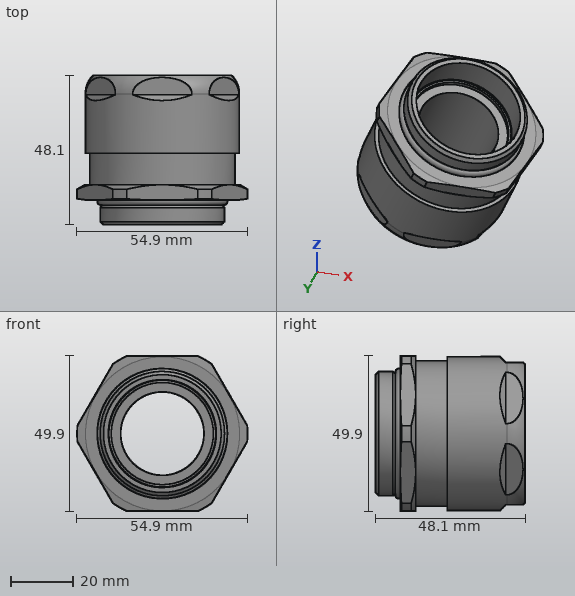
import cadquery as cq
import math

LENGTH = 48.1

THREAD_RADIUS = 40.0 / 2
THREAD_TIP_RADIUS = 37.85 / 2
TIP_CHAMFER_LENGTH = 1.1
THREAD_END_Y = 5.55
UNDERCUT_Y = 6.35
UNDERCUT_RADIUS = 19.4
RING_OUTER_RADIUS = 20.95
RING_TUBE_RADIUS = 1.2

HEX_SIDES = 6
HEX_ACROSS_FLATS = 49.9
HEX_CORNER_DIAMETER = 54.85
HEX_FACE_DIAMETER = 49.55
HEX_START_Y = 8.0
HEX_END_Y = 13.0
HEX_FRONT_BEVEL = 0.4
HEX_REAR_BEVEL = 1.55

NECK_RADIUS = 46.85 / 2
CAP_RADIUS = 49.55 / 2
CAP_START_Y = 23.05
DOME_START_Y = 42.2
DOME_END_RADIUS = 22.2

FLAT_COUNT = 6
FLAT_DISTANCE = 22.9
FLAT_START_Y = 41.85
CUT_MARGIN = 2.75

BORE_RADIUS = 34.75 / 2
BORE_DEPTH = 9.95
STEP_RADIUS = 34.35 / 2
STEP_DEPTH = 10.2
SEAT_RADIUS = 32.8 / 2
SEAT_DEPTH = 11.5
THROUGH_RADIUS = 26.7 / 2


def cylinder(radius, start_y, end_y):
    """Solid cylinder on the Y axis."""
    return cq.Workplane("XZ", origin=(0, start_y, 0)).circle(radius).extrude(start_y - end_y)


def revolve_about_y(profile):
    """Turn a closed radius / Y profile about the Y axis."""
    return profile.close().revolve(360, (0, 0, 0), (0, 1, 0))


def threaded_end():
    """Plain thread envelope with a chamfered tip and a conical undercut."""
    return revolve_about_y(
        cq.Workplane("XY")
        .lineTo(THREAD_TIP_RADIUS, 0)
        .lineTo(THREAD_RADIUS, TIP_CHAMFER_LENGTH)
        .lineTo(THREAD_RADIUS, THREAD_END_Y)
        .lineTo(UNDERCUT_RADIUS, UNDERCUT_Y)
        .lineTo(UNDERCUT_RADIUS, HEX_END_Y)
        .lineTo(0, HEX_END_Y)
    )


def sealing_ring():
    """Half-round ring between the undercut and the hexagonal collar."""
    tube_center_radius = RING_OUTER_RADIUS - RING_TUBE_RADIUS
    tube_center_y = UNDERCUT_Y + RING_TUBE_RADIUS
    ring_end_y = tube_center_y + RING_TUBE_RADIUS
    return revolve_about_y(
        cq.Workplane("XY")
        .moveTo(THROUGH_RADIUS, UNDERCUT_Y)
        .lineTo(tube_center_radius, UNDERCUT_Y)
        .threePointArc((RING_OUTER_RADIUS, tube_center_y), (tube_center_radius, ring_end_y))
        .lineTo(THROUGH_RADIUS, ring_end_y)
    )


def hex_collar():
    """Hexagon with its corners turned round, bevelled on both faces."""
    hexagon = (
        cq.Workplane("XZ", origin=(0, HEX_START_Y, 0))
        .polygon(HEX_SIDES, HEX_ACROSS_FLATS / math.cos(math.pi / HEX_SIDES))
        .extrude(HEX_START_Y - HEX_END_Y)
    )
    envelope = revolve_about_y(
        cq.Workplane("XY")
        .moveTo(0, HEX_START_Y)
        .lineTo(HEX_FACE_DIAMETER / 2, HEX_START_Y)
        .lineTo(HEX_CORNER_DIAMETER / 2, HEX_START_Y + HEX_FRONT_BEVEL)
        .lineTo(HEX_CORNER_DIAMETER / 2, HEX_END_Y - HEX_REAR_BEVEL)
        .lineTo(HEX_FACE_DIAMETER / 2, HEX_END_Y)
        .lineTo(0, HEX_END_Y)
    )
    return hexagon.intersect(envelope)


def flat_cutter():
    """Cutter for one wrench flat on +Z, with a 45 degree run-out."""
    outer_z = CAP_RADIUS + CUT_MARGIN
    return (
        cq.Workplane("YZ")
        .moveTo(LENGTH + CUT_MARGIN, FLAT_DISTANCE)
        .lineTo(FLAT_START_Y, FLAT_DISTANCE)
        .lineTo(FLAT_START_Y - (outer_z - FLAT_DISTANCE), outer_z)
        .lineTo(LENGTH + CUT_MARGIN, outer_z)
        .close()
        .extrude(CAP_RADIUS, both=True)
    )


def cap():
    """Round cap whose domed end carries the wrench flats."""
    dome_height = LENGTH - DOME_START_Y
    inset = CAP_RADIUS - DOME_END_RADIUS
    dome_radius = (inset**2 + dome_height**2) / (2 * inset)
    half_angle = math.asin(dome_height / dome_radius) / 2
    dome_mid = (
        CAP_RADIUS - dome_radius * (1 - math.cos(half_angle)),
        DOME_START_Y + dome_radius * math.sin(half_angle),
    )
    body = revolve_about_y(
        cq.Workplane("XY")
        .moveTo(0, CAP_START_Y)
        .lineTo(CAP_RADIUS, CAP_START_Y)
        .lineTo(CAP_RADIUS, DOME_START_Y)
        .threePointArc(dome_mid, (DOME_END_RADIUS, LENGTH))
        .lineTo(0, LENGTH)
    )
    cutter = flat_cutter()
    for index in range(FLAT_COUNT):
        body = body.cut(cutter.rotate((0, 0, 0), (0, 1, 0), index * 360 / FLAT_COUNT))
    return body


result = threaded_end().union(sealing_ring()).union(hex_collar())
result = result.union(cylinder(NECK_RADIUS, HEX_END_Y, CAP_START_Y)).union(cap())

bore_steps = [
    (BORE_RADIUS, BORE_DEPTH),
    (STEP_RADIUS, STEP_DEPTH),
    (SEAT_RADIUS, SEAT_DEPTH),
    (THROUGH_RADIUS, LENGTH),
]
for radius, depth in bore_steps:
    result = result.cut(cylinder(radius, 0, depth))